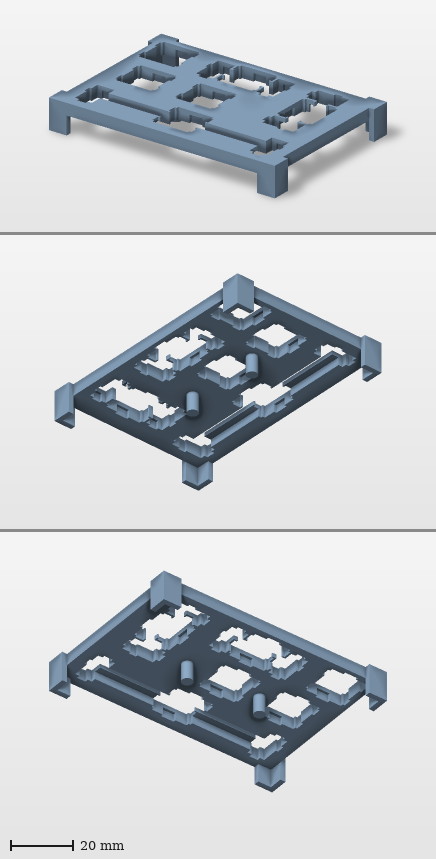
import cadquery as cq

length = 89.7
width = 61.2
height = 11.5
plate_thickness = 4.5
leg_size = 7.1
leg_wall = 2.0
plate_inset = leg_wall

half_length = length / 2
half_width = width / 2
plate_bottom = height - plate_thickness

key_pitch = 19.0
front_row = -key_pitch
middle_row = 0.0
rear_row = key_pitch
rear_single_column = -1.75
middle_columns = (-1.5, -0.25)
rear_stabilized_column = -0.125
upright_column = 1.5

pin_diameter = 4.0
left_pin_x = sum(middle_columns) / 2 * key_pitch
right_pin_x = 12.4

switch_size = 14.0
switch_half = switch_size / 2
notch_depth = 0.8
notch_inner = 2.9
notch_outer = 6.0

short_stabilizer = 11.9
long_stabilizer = 34.6
stabilizer_width = 6.7
stabilizer_rear = 5.6
stabilizer_front = -6.7
foot_width = 3.3
foot_front = -8.0
side_tab_depth = 0.83
side_tab_front = -0.5
wire_slot_half = 2.3
wire_relief_front = -5.0

skin_thickness = 1.5
skin_bottom = height - skin_thickness
relief_width = 5.0
relief_depth = 1.0


def block(x_min, x_max, y_min, y_max, z_min=0.0, z_max=height):
    """Box between opposite corners; full height unless Z limits are given."""
    box = cq.Workplane("XY").box(x_max - x_min, y_max - y_min, z_max - z_min, centered=False)
    return box.translate((x_min, y_min, z_min))


def leg():
    """L-shaped leg, full height, with its outer corner at the front left."""
    front_arm = block(-half_length, -half_length + leg_size, -half_width, -half_width + leg_wall)
    side_arm = block(-half_length, -half_length + leg_wall, -half_width, -half_width + leg_size)
    return front_arm.union(side_arm)


def frame():
    """Plate held by four corner legs, with two pins below."""
    plate_half_length = half_length - plate_inset
    body = block(
        -plate_half_length, plate_half_length, -half_width, half_width - plate_inset, plate_bottom
    )
    front_legs = leg().union(leg().mirror("YZ"))
    body = body.union(front_legs).union(front_legs.mirror("XZ"))
    pin_centres = [(left_pin_x, 0), (right_pin_x, 0)]
    pins = cq.Workplane("XY").pushPoints(pin_centres).circle(pin_diameter / 2).extrude(height)
    return body.union(pins)


def switch_cutout():
    """Square opening with two notches in each side wall and clip reliefs front and rear."""
    cutout = block(-switch_half, switch_half, -switch_half, switch_half)
    notch_reach = switch_half + notch_depth
    cutout = cutout.union(block(-notch_reach, notch_reach, notch_inner, notch_outer))
    cutout = cutout.union(block(-notch_reach, notch_reach, -notch_outer, -notch_inner))
    relief_half = relief_width / 2
    relief_reach = switch_half + relief_depth
    relief = block(-relief_half, relief_half, -relief_reach, relief_reach, z_max=skin_bottom)
    return cutout.union(relief)


def stabilizer_cutout(spacing):
    """Right-hand stabilizer opening with its wire slot back to the switch."""
    left = spacing - stabilizer_width / 2
    right = spacing + stabilizer_width / 2
    foot_left = spacing - foot_width / 2
    foot_right = spacing + foot_width / 2
    relief_rear = stabilizer_rear + relief_depth

    body = block(left, right, stabilizer_front, stabilizer_rear)
    foot = block(foot_left, foot_right, foot_front, stabilizer_front)
    side_tab = block(right, right + side_tab_depth, side_tab_front, wire_slot_half)
    wire_slot = block(0, left, -wire_slot_half, wire_slot_half)
    wire_relief = block(0, left, wire_relief_front, wire_slot_half, z_max=skin_bottom)
    clip_relief = block(foot_left, foot_right, stabilizer_front, relief_rear, z_max=skin_bottom)

    cutout = body
    for piece in (foot, side_tab, wire_slot, wire_relief, clip_relief):
        cutout = cutout.union(piece)
    return cutout


def stabilized_cutout(spacing):
    """Switch opening with a stabilizer opening on either side."""
    stabilizer = stabilizer_cutout(spacing)
    return switch_cutout().union(stabilizer).union(stabilizer.mirror("YZ"))


def at_key(cutout, column, y):
    """Move a cutout to its place in the key layout."""
    return cutout.translate((column * key_pitch, y, 0))


cutouts = [at_key(switch_cutout(), rear_single_column, rear_row)]
for column in middle_columns:
    cutouts.append(at_key(switch_cutout(), column, middle_row))

cutouts.append(at_key(stabilized_cutout(short_stabilizer), rear_stabilized_column, rear_row))
cutouts.append(at_key(stabilized_cutout(long_stabilizer), 0, front_row))
upright_key = stabilized_cutout(short_stabilizer).rotate((0, 0, 0), (0, 0, 1), -90)
cutouts.append(at_key(upright_key, upright_column, (middle_row + rear_row) / 2))

result = frame()
for cutout in cutouts:
    result = result.cut(cutout)